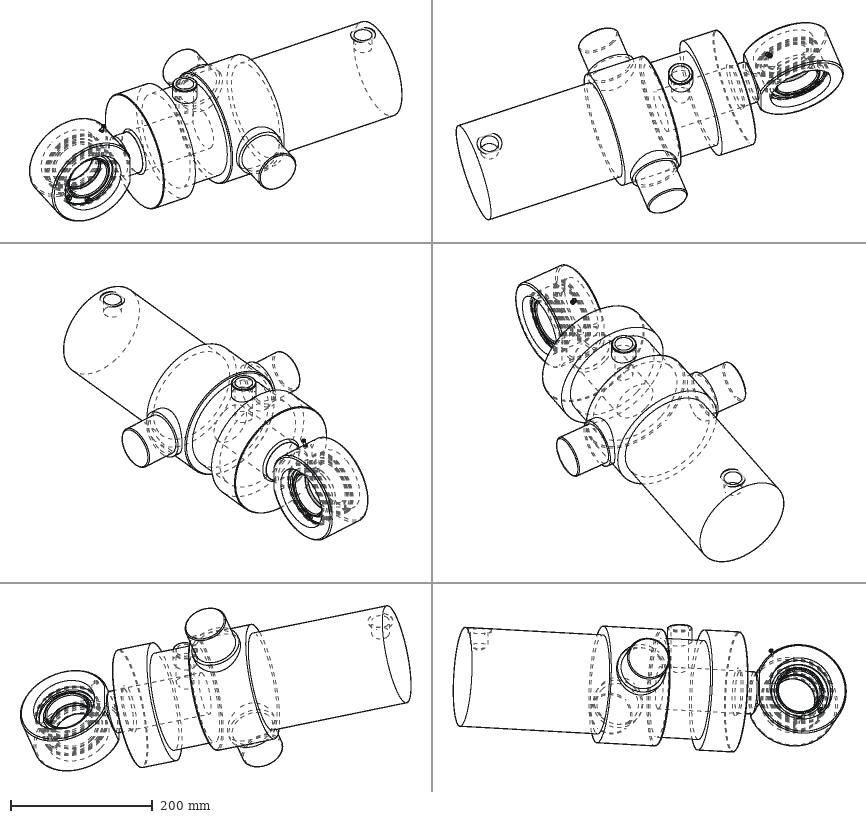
import cadquery as cq
import math


TOTAL_LENGTH = 545.0

EYE_DIAMETER = 130.5
EYE_WIDTH = 70.0
EYE_CHAMFER = 2.0
EYE_FLAT_Y = 60.0

BACK_FACE_Y = TOTAL_LENGTH - EYE_DIAMETER / 2
TUBE_DIAMETER = 140.0

GLAND_DIAMETER = 170.0
GLAND_LENGTH = 51.0
GLAND_FACE_Y = 86.0
GLAND_CHAMFER = 1.0
WIPER_BASE_DIAMETER = 67.5
WIPER_TIP_DIAMETER = 61.0
WIPER_LENGTH = 3.0

TRUNNION_Y = 240.0
BAND_DIAMETER = 165.0
BAND_LENGTH = 85.0
BAND_CHAMFER = 1.5
COLLAR_DIAMETER = 70.0
COLLAR_SPAN = 180.0
TRUNNION_DIAMETER = 60.0
TRUNNION_SPAN = 280.0
TRUNNION_CHAMFER = 1.5

PORT_DIAMETER = 25.0
FRONT_PORT_Y = 168.0
BOSS_DIAMETER = 35.0
BOSS_TOP_Z = 90.0
BOSS_CHAMFER = 1.0
REAR_PORT_INSET = 24.0
REAR_PORT_Y = BACK_FACE_Y - REAR_PORT_INSET
SPOTFACE_DIAMETER = 35.0
SPOTFACE_DEPTH = 1.4
REAR_PORT_DEPTH = 22.0
DRILL_POINT_ANGLE = 118.0

ROD_DIAMETER = 60.0
ROD_TIP_CHAMFER = 2.5
ROD_END_Y = TRUNNION_Y - BAND_LENGTH / 2

NIPPLE_TILT = 30.0
NIPPLE_ROOT = 5.5
NIPPLE_BASE_DIAMETER = 6.0
NIPPLE_BASE_HEIGHT = 1.5
NIPPLE_NECK_DIAMETER = 3.5
NIPPLE_NECK_HEIGHT = 5.0
NIPPLE_HEAD_DIAMETER = 6.0
NIPPLE_HEAD_CHAMFER = 1.35
NIPPLE_HEAD_HEIGHT = 4.0

BEARING_DIAMETER = 90.0
BEARING_BORE = 60.0
BALL_DIAMETER = 80.0
OUTER_RING_WIDTH = 36.0
INNER_RING_WIDTH = 44.0
BORE_CHAMFER = 1.5
BORE_GROOVE_WIDTH = 5.0
BORE_GROOVE_DEPTH = 0.5

CLIP_DIAMETER = 94.0
CLIP_THICKNESS = 3.0
CLIP_INNER_DIAMETER = 82.0
CLIP_INNER_OFFSET = 1.5
CLIP_GAP_DIRECTION = 245.0
CLIP_GAP_HALF_ANGLE = 25.0
CLIP_LUG_DIAMETER = 7.5
CLIP_LUG_RADIUS = 40.5
CLIP_LUG_HOLE = 3.0


def cylinder_y(diameter, start, end):
    """Cylinder on the Y axis from start to end."""
    return cq.Workplane("XZ", origin=(0, start, 0)).circle(diameter / 2).extrude(start - end)


def cylinder_x(diameter, length):
    """Cylinder on the X axis, centred on the origin."""
    return cq.Workplane("YZ").circle(diameter / 2).extrude(length / 2, both=True)


def cylinder_z(diameter, y, bottom, top):
    """Cylinder parallel to Z, with its axis at X = 0 and the given y."""
    return cq.Workplane("XY", origin=(0, y, bottom)).circle(diameter / 2).extrude(top - bottom)


def polar(radius, angle):
    """Point at a radius and an angle in degrees."""
    return radius * math.cos(math.radians(angle)), radius * math.sin(math.radians(angle))


def make_trunnion():
    """Band around the tube with a collared pin on each side."""
    front = TRUNNION_Y - BAND_LENGTH / 2
    band = cylinder_y(BAND_DIAMETER, front, front + BAND_LENGTH).faces("<Y").chamfer(BAND_CHAMFER)
    pins = cylinder_x(TRUNNION_DIAMETER, TRUNNION_SPAN).faces("<X or >X").chamfer(TRUNNION_CHAMFER)
    pins = pins.union(cylinder_x(COLLAR_DIAMETER, COLLAR_SPAN))
    return band.union(pins.translate((0, TRUNNION_Y, 0)))


def make_gland():
    """Gland with a conical wiper lip around the rod."""
    gland = cylinder_y(GLAND_DIAMETER, GLAND_FACE_Y, GLAND_FACE_Y + GLAND_LENGTH)
    gland = gland.faces("<Y").chamfer(GLAND_CHAMFER)
    wiper = (
        cq.Workplane("XZ", origin=(0, GLAND_FACE_Y, 0))
        .circle(WIPER_BASE_DIAMETER / 2)
        .workplane(offset=WIPER_LENGTH)
        .circle(WIPER_TIP_DIAMETER / 2)
        .loft()
    )
    return gland.union(wiper)


def make_rear_port():
    """Cutter for the spotface and the drilled hole with its conical end."""
    flat_z = TUBE_DIAMETER / 2 - SPOTFACE_DEPTH
    bottom_z = flat_z - REAR_PORT_DEPTH
    hole_radius = PORT_DIAMETER / 2
    point_depth = hole_radius / math.tan(math.radians(DRILL_POINT_ANGLE / 2))
    spotface = cylinder_z(SPOTFACE_DIAMETER, REAR_PORT_Y, flat_z, TUBE_DIAMETER / 2)
    drill = (
        cq.Workplane("XZ", origin=(0, REAR_PORT_Y, 0))
        .moveTo(0, bottom_z - point_depth)
        .lineTo(hole_radius, bottom_z)
        .lineTo(hole_radius, flat_z)
        .lineTo(0, flat_z)
        .close()
        .revolve(360, (0, 0, 0), (0, 1, 0))
    )
    return spotface.union(drill)


def make_housing():
    """Tube, trunnion, gland and port boss in one piece, with a bore for the rod."""
    tube = cylinder_y(TUBE_DIAMETER, GLAND_FACE_Y, BACK_FACE_Y)
    boss = cylinder_z(BOSS_DIAMETER, FRONT_PORT_Y, 0, BOSS_TOP_Z).faces(">Z").chamfer(BOSS_CHAMFER)
    front_port = cylinder_z(PORT_DIAMETER, FRONT_PORT_Y, 0, BOSS_TOP_Z)
    rod_bore = cylinder_y(ROD_DIAMETER, GLAND_FACE_Y - WIPER_LENGTH, ROD_END_Y)
    body = tube.union(make_trunnion()).union(make_gland()).union(boss)
    return body.cut(make_rear_port()).cut(front_port).cut(rod_bore)


def make_nipple():
    """Grease nipple that leans from the top of the eye toward the rod."""
    base_top = EYE_DIAMETER / 2 + NIPPLE_BASE_HEIGHT
    neck_top = base_top + NIPPLE_NECK_HEIGHT
    head_top = neck_top + NIPPLE_HEAD_HEIGHT
    base = cylinder_z(NIPPLE_BASE_DIAMETER, 0, EYE_DIAMETER / 2 - NIPPLE_ROOT, base_top)
    neck = cylinder_z(NIPPLE_NECK_DIAMETER, 0, base_top, neck_top)
    head = cylinder_z(NIPPLE_HEAD_DIAMETER, 0, neck_top, head_top)
    head = head.edges("%CIRCLE").chamfer(NIPPLE_HEAD_CHAMFER)
    return base.union(neck).union(head).rotate((0, 0, 0), (1, 0, 0), -NIPPLE_TILT)


def make_circlip():
    """Circlip on the +X side of the bearing, with a lug at each side of its gap."""
    plane = cq.Workplane("YZ", origin=(OUTER_RING_WIDTH / 2, 0, 0))
    gap_edges = [CLIP_GAP_DIRECTION - CLIP_GAP_HALF_ANGLE, CLIP_GAP_DIRECTION + CLIP_GAP_HALF_ANGLE]
    ring = plane.circle(CLIP_DIAMETER / 2).extrude(CLIP_THICKNESS)
    opening = (
        plane.center(*polar(CLIP_INNER_OFFSET, CLIP_GAP_DIRECTION))
        .circle(CLIP_INNER_DIAMETER / 2)
        .extrude(CLIP_THICKNESS)
    )
    gap = (
        plane.moveTo(0, 0)
        .lineTo(*polar(CLIP_DIAMETER, gap_edges[0]))
        .lineTo(*polar(CLIP_DIAMETER, gap_edges[1]))
        .close()
        .extrude(CLIP_THICKNESS)
    )
    lug_centres = plane.pushPoints([polar(CLIP_LUG_RADIUS, angle) for angle in gap_edges])
    lugs = lug_centres.circle(CLIP_LUG_DIAMETER / 2).extrude(CLIP_THICKNESS)
    lug_holes = lug_centres.circle(CLIP_LUG_HOLE / 2).extrude(CLIP_THICKNESS)
    return ring.cut(opening).cut(gap).union(lugs).cut(lug_holes)


def ball_point(x):
    """Point on the ball's outline at x, as (x, radius from the X axis)."""
    return x, math.sqrt((BALL_DIAMETER / 2) ** 2 - x**2)


def make_bearing_rings():
    """Ball-shaped inner ring held in an outer ring, with a grease groove around the bore."""
    outer_side = OUTER_RING_WIDTH / 2
    inner_side = INNER_RING_WIDTH / 2
    middle = (outer_side + inner_side) / 2
    bore_radius = BEARING_BORE / 2
    rings = (
        cq.Workplane("XY")
        .moveTo(BORE_CHAMFER - inner_side, bore_radius)
        .lineTo(-inner_side, bore_radius + BORE_CHAMFER)
        .lineTo(*ball_point(-inner_side))
        .threePointArc(ball_point(-middle), ball_point(-outer_side))
        .lineTo(-outer_side, BEARING_DIAMETER / 2)
        .lineTo(outer_side, BEARING_DIAMETER / 2)
        .lineTo(*ball_point(outer_side))
        .threePointArc(ball_point(middle), ball_point(inner_side))
        .lineTo(inner_side, bore_radius + BORE_CHAMFER)
        .lineTo(inner_side - BORE_CHAMFER, bore_radius)
        .close()
        .revolve(360, (0, 0, 0), (1, 0, 0))
    )
    return rings.cut(cylinder_x(BEARING_BORE + 2 * BORE_GROOVE_DEPTH, BORE_GROOVE_WIDTH))


def make_bearing():
    """Bearing rings with a circlip on each side."""
    circlip = make_circlip()
    return make_bearing_rings().union(circlip).union(circlip.mirror("YZ"))


def make_rod(bearing_seat):
    """Rod and eye in one piece, with a seat that matches the bearing."""
    rod = cylinder_y(ROD_DIAMETER, EYE_FLAT_Y, ROD_END_Y).faces("<Y").chamfer(ROD_TIP_CHAMFER)
    eye = cylinder_x(EYE_DIAMETER, EYE_WIDTH).faces("<X or >X").chamfer(EYE_CHAMFER)
    beyond_flat = cq.Workplane("XY").box(EYE_WIDTH, EYE_DIAMETER, EYE_DIAMETER)
    eye = eye.cut(beyond_flat.translate((0, EYE_FLAT_Y + EYE_DIAMETER / 2, 0)))
    return eye.union(rod).union(make_nipple()).cut(bearing_seat)


def make_bearing_seat():
    """Through hole for the bearing with a full groove for each circlip."""
    seat = cylinder_x(BEARING_DIAMETER, EYE_WIDTH)
    groove_span = OUTER_RING_WIDTH + 2 * CLIP_THICKNESS
    grooves = cylinder_x(CLIP_DIAMETER, groove_span).cut(cylinder_x(CLIP_DIAMETER, OUTER_RING_WIDTH))
    return seat.union(grooves)


housing = make_housing()
bearing = make_bearing()
rod = make_rod(make_bearing_seat())

result = cq.Compound.makeCompound([body.solids().val() for body in (housing, rod, bearing)])